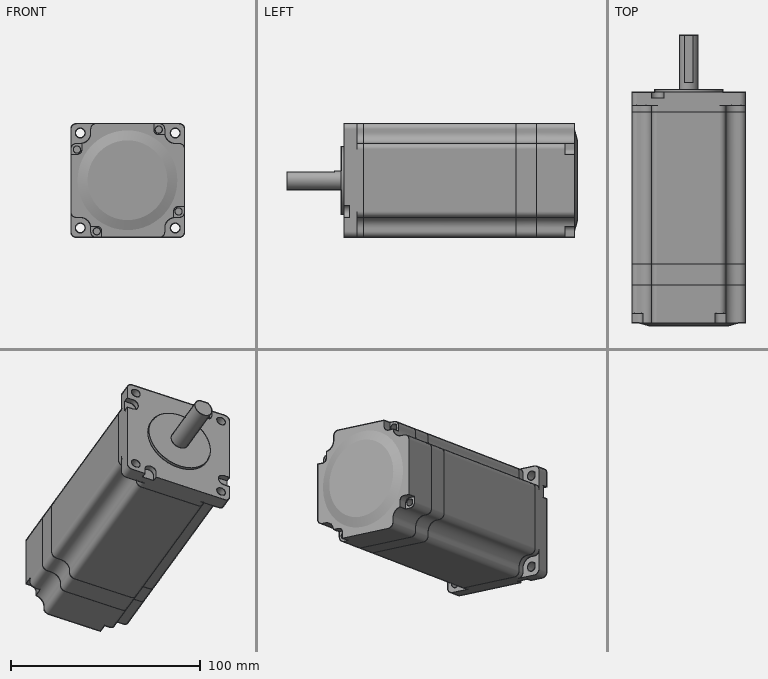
import cadquery as cq
import math


width = 60.0
half_width = width / 2
corner_radius = 3.0

flange_thickness = 7.0
front_length = 10.4
stator_length = 80.1
spacer_length = 11.0
cover_length = 20.0

hole_offset = 25.0
hole_diameter = 5.0
recess_radius = 5.5
recess_wall = hole_offset - recess_radius

boss_radius = 18.0
boss_height = 1.5
shaft_radius = 5.0
shaft_length = 30.0
flat_length = 25.0
flat_height = 4.5

screw_along = 16.3
screw_out = 26.75
screw_hole_diameter = 3.8
screw_hole_depth = 5.0
rear_pocket_depth = 5.0
rear_pocket_radius = 2.6
rear_pocket_side = screw_along - rear_pocket_radius
front_pocket_depth = 3.0
front_pocket_radius = 3.25

cap_base_radius = 26.25
cap_end_radius = 21.0
cap_height = 1.5


def section(y):
    """Workplane at station y with local x along X, local y along Z, extruding towards -Y."""
    return cq.Workplane("XZ", origin=(0, y, 0))


def square_prism(y, length):
    return section(y).rect(width, width).extrude(length)


def corner_recess(y, length):
    """Recess in the +X+Z corner: a round end about the mounting hole with flared mouths."""
    mouth = recess_wall - corner_radius
    shoulder = half_width - corner_radius
    arc_bend = corner_radius * math.sqrt(0.5)
    inner_bend = recess_radius * math.sqrt(0.5)
    return (
        section(y)
        .moveTo(mouth, half_width)
        .threePointArc((mouth + arc_bend, shoulder + arc_bend), (recess_wall, shoulder))
        .lineTo(recess_wall, hole_offset)
        .threePointArc(
            (hole_offset - inner_bend, hole_offset - inner_bend),
            (hole_offset, recess_wall),
        )
        .lineTo(shoulder, recess_wall)
        .threePointArc((shoulder + arc_bend, mouth + arc_bend), (half_width, mouth))
        .lineTo(half_width, half_width)
        .close()
        .extrude(length)
    )


def cut_at_four_sides(body, tool):
    """Cut the tool out of the body at each quarter turn about the motor axis."""
    for quarter in range(4):
        body = body.cut(tool.rotate((0, 0, 0), (0, 1, 0), 90 * quarter))
    return body


def recessed_block(y, length):
    return cut_at_four_sides(square_prism(y, length), corner_recess(y, length))


def front_pocket():
    """Round-bottomed notch, open to the mounting face and to the side."""
    bore = (
        section(0)
        .center(-screw_along, screw_out)
        .circle(front_pocket_radius)
        .extrude(front_pocket_depth)
    )
    mouth_height = half_width - screw_out
    mouth = (
        section(0)
        .center(-screw_along, screw_out + mouth_height / 2)
        .rect(2 * front_pocket_radius, mouth_height)
        .extrude(front_pocket_depth)
    )
    return bore.union(mouth)


def make_front():
    """Mounting flange with its pilot boss and output shaft."""
    flange = square_prism(0, front_length).edges("|Y").fillet(corner_radius)
    step = corner_recess(-flange_thickness, front_length - flange_thickness)
    flange = cut_at_four_sides(flange, step)
    hole = section(0).center(hole_offset, hole_offset).circle(hole_diameter / 2).extrude(flange_thickness)
    flange = cut_at_four_sides(flange, hole)
    flange = cut_at_four_sides(flange, front_pocket())

    boss = section(0).circle(boss_radius).extrude(-boss_height)
    shaft = section(0).circle(shaft_radius).extrude(-shaft_length)
    flat_cut = (
        section(shaft_length)
        .center(0, flat_height + shaft_radius / 2)
        .rect(2 * shaft_radius, shaft_radius)
        .extrude(flat_length)
    )
    return flange.union(boss).union(shaft.cut(flat_cut))


def rear_pocket(y):
    """Screw pocket open to the rear face, the top side and the corner recess next to it."""
    pocket_floor = screw_out - rear_pocket_radius
    pocket = (
        section(y)
        .moveTo(rear_pocket_side, half_width)
        .lineTo(rear_pocket_side, screw_out)
        .radiusArc((rear_pocket_side + rear_pocket_radius, pocket_floor), -rear_pocket_radius)
        .lineTo(hole_offset, pocket_floor)
        .lineTo(hole_offset, half_width)
        .close()
        .extrude(rear_pocket_depth)
    )
    hole = (
        section(y + screw_hole_depth)
        .center(screw_along, screw_out)
        .circle(screw_hole_diameter / 2)
        .extrude(screw_hole_depth)
    )
    return pocket.union(hole)


def make_cover(y):
    """Rear cover with four screw pockets and a shallow conical cap."""
    rear_face = y - cover_length
    cover = cut_at_four_sides(recessed_block(y, cover_length), rear_pocket(rear_face + rear_pocket_depth))
    cap = (
        cq.Workplane("XY")
        .moveTo(0, rear_face)
        .lineTo(cap_base_radius, rear_face)
        .lineTo(cap_end_radius, rear_face - cap_height)
        .lineTo(0, rear_face - cap_height)
        .close()
        .revolve(360, (0, 0, 0), (0, 1, 0))
    )
    return cover.union(cap)


stator_front = -front_length
spacer_front = stator_front - stator_length
cover_front = spacer_front - spacer_length

front = make_front()
stator = recessed_block(stator_front, stator_length)
spacer = recessed_block(spacer_front, spacer_length)
cover = make_cover(cover_front)

result = cq.Compound.makeCompound([front.val(), stator.val(), spacer.val(), cover.val()])